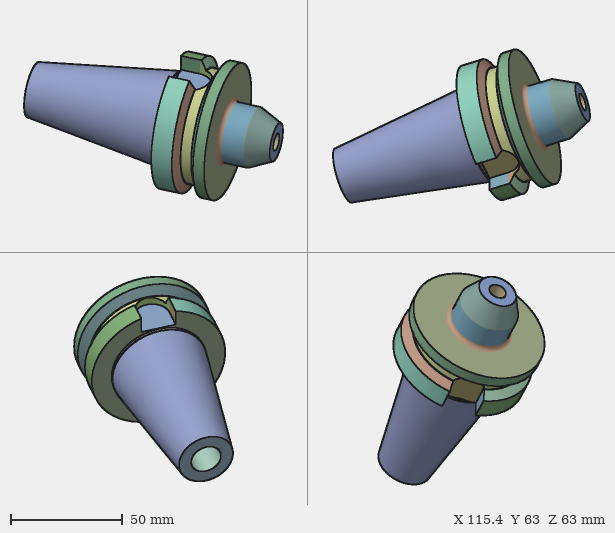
import cadquery as cq

length = 115.4
taper_end = 65.4
collar_start = 65.8
flange_start = 67.2
groove_start = 77.0
groove_floor_start = 79.4
groove_floor_end = 84.5
groove_end = 87.0
flange_end = 92.3
nose_start = 104.8

taper_ratio = 7 / 24
gauge_radius = 22.3
small_end_radius = gauge_radius - taper_end * taper_ratio / 2
collar_radius = 22.2
flange_radius = 31.5
groove_radius = 26.5
groove_step = 0.3
boss_radius = 14.0
nose_tip_radius = 8.9
boss_root_fillet = 2.0
nose_blend_radius = 0.8

slot_width = 16.2
slot_floor = 22.6
slot_end = 84.2

bolt_bore_diameter = 14.1
bolt_bore_depth = 30.0
through_hole_diameter = 8.0


def tool_holder_body():
    """Revolve the taper, grooved flange and nose about the X axis."""
    half_profile = [
        (0, 0),
        (0, small_end_radius),
        (taper_end, gauge_radius),
        (collar_start, collar_radius),
        (flange_start, collar_radius),
        (flange_start, flange_radius),
        (groove_start, flange_radius),
        (groove_floor_start, groove_radius + groove_step),
        (groove_floor_start, groove_radius),
        (groove_floor_end, groove_radius),
        (groove_floor_end, groove_radius + groove_step),
        (groove_end, flange_radius),
        (flange_end, flange_radius),
        (flange_end, boss_radius),
        (nose_start, boss_radius),
        (length, nose_tip_radius),
        (length, 0),
    ]
    return cq.Workplane("XY").polyline(half_profile).close().revolve(360, (0, 0, 0), (1, 0, 0))


def ring_at(x, radius):
    """Select the circular edge of the given radius around the axis at x."""
    margin = 0.1
    return cq.selectors.BoxSelector(
        (x - margin, -radius - margin, -radius - margin),
        (x + margin, radius + margin, radius + margin),
        boundingbox=True,
    )


def drive_slot(side):
    """Round-ended cutter open to the taper side; side is +1 (top) or -1 (bottom)."""
    end_radius = slot_width / 2
    arc_start = slot_end - end_radius
    return (
        cq.Workplane("XY", origin=(0, 0, side * slot_floor))
        .moveTo(flange_start, -end_radius)
        .lineTo(arc_start, -end_radius)
        .threePointArc((slot_end, 0), (arc_start, end_radius))
        .lineTo(flange_start, end_radius)
        .close()
        .extrude(side * flange_radius)
    )


def axial_bore(diameter, depth):
    """Cylinder entering from the small end of the taper."""
    return cq.Workplane("YZ").circle(diameter / 2).extrude(depth)


result = tool_holder_body()
result = result.edges(ring_at(flange_end, boss_radius)).fillet(boss_root_fillet)
result = result.edges(ring_at(nose_start, boss_radius)).fillet(nose_blend_radius)
for side in (1, -1):
    result = result.cut(drive_slot(side))
result = result.cut(axial_bore(bolt_bore_diameter, bolt_bore_depth))
result = result.cut(axial_bore(through_hole_diameter, length))